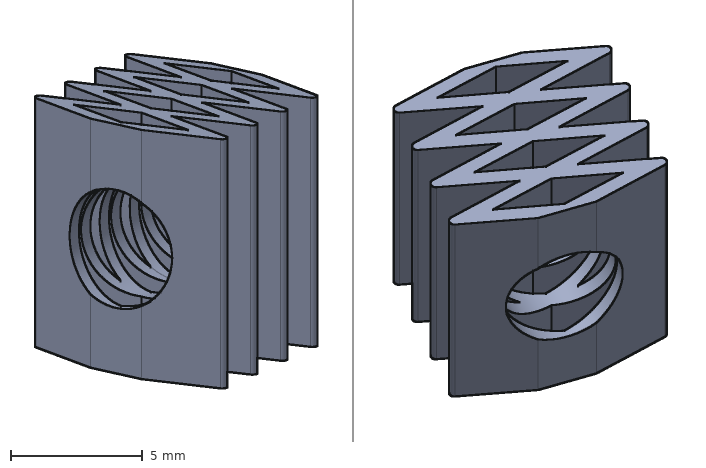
import cadquery as cq
import math

length_x = 8.82
height = 10.0
cell_pitch = 2.0
cell_count = 4
bridge_half_width = 1.18
tip_radius = 0.2
opening_half_width = 2.64
opening_half_depth = 0.68
hole_diameter = 4.74

half_pitch = cell_pitch / 2
tip_center_x = length_x / 2 - tip_radius
wall_run = tip_center_x - bridge_half_width
wall_angle = math.atan2(half_pitch, wall_run) - math.asin(tip_radius / math.hypot(wall_run, half_pitch))
tangent_x = tip_center_x + tip_radius * math.sin(wall_angle)
tangent_y = tip_radius * math.cos(wall_angle)


def cell(center_y):
    """One rounded diamond cell, still without its opening."""
    return (
        cq.Workplane("XY")
        .center(0, center_y)
        .moveTo(-bridge_half_width, -half_pitch)
        .lineTo(bridge_half_width, -half_pitch)
        .lineTo(tangent_x, -tangent_y)
        .threePointArc((length_x / 2, 0), (tangent_x, tangent_y))
        .lineTo(bridge_half_width, half_pitch)
        .lineTo(-bridge_half_width, half_pitch)
        .lineTo(-tangent_x, tangent_y)
        .threePointArc((-length_x / 2, 0), (-tangent_x, -tangent_y))
        .close()
        .extrude(height)
    )


def opening(center_y):
    """Diamond opening running the full height of a cell."""
    return (
        cq.Workplane("XY")
        .center(0, center_y)
        .moveTo(-opening_half_width, 0)
        .lineTo(0, -opening_half_depth)
        .lineTo(opening_half_width, 0)
        .lineTo(0, opening_half_depth)
        .close()
        .extrude(height)
    )


cell_centers = [(i - (cell_count - 1) / 2) * cell_pitch for i in range(cell_count)]

body = cell(cell_centers[0])
for center_y in cell_centers[1:]:
    body = body.union(cell(center_y))
for center_y in cell_centers:
    body = body.cut(opening(center_y))

depth_y = cell_count * cell_pitch
hole = (
    cq.Workplane("XZ")
    .center(0, height / 2)
    .circle(hole_diameter / 2)
    .extrude(depth_y / 2, both=True)
)

result = body.cut(hole)